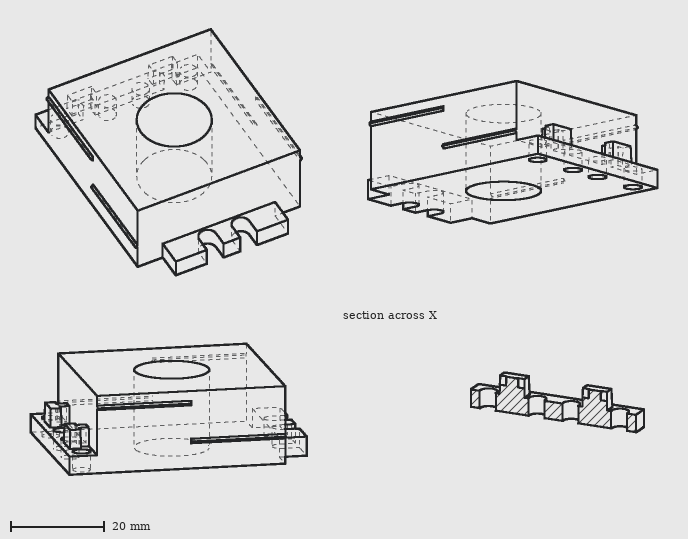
import cadquery as cq

body_length = 41.0
body_width = 39.0
body_height = 17.0
bore_diameter = 16.0

flange_length = 6.0
flange_height = 4.0
flange_hole_diameter = 3.8
flange_hole_from_edge = 3.5

tab_length = 6.0
tab_width = 27.0
tab_height = 4.2
slot_width = 4.0
slot_end_clearance = 0.5

inner_fixing_y = 4.0
outer_fixing_y = 15.5

clip_height = 4.1
clip_draft = 2.0
clip_from_edge = 1.5
clip_bar_thickness = 2.5
clip_bar_width = 6.0
clip_stem_width = 3.0
clip_stem_overlap = 1.0

rib_depth = 0.5
rib_height = 2 * rib_depth
upper_rib_z = 14.37
lower_rib_z = 6.05

body_left = -body_length / 2
body_right = body_length / 2
body_front = -body_width / 2
flange_left = body_left - flange_length
tab_right = body_right + tab_length
clip_y = (inner_fixing_y + outer_fixing_y) / 2


def make_block(x_start, x_end, width, height):
    """Block between two X positions, centred on Y and standing on Z = 0."""
    block = cq.Workplane("XY").box(x_end - x_start, width, height, centered=(False, True, False))
    return block.translate((x_start, 0, 0))


def make_body():
    body = make_block(body_left, body_right, body_width, body_height)
    flange = make_block(flange_left, body_left, body_width, flange_height)
    tab = make_block(body_right, tab_right, tab_width, tab_height)
    return body.union(flange).union(tab)


def make_bore():
    return cq.Workplane("XY").circle(bore_diameter / 2).extrude(body_height)


def make_flange_holes():
    hole_x = flange_left + flange_hole_from_edge
    hole_ys = (-outer_fixing_y, -inner_fixing_y, inner_fixing_y, outer_fixing_y)
    holes = cq.Workplane("XY").pushPoints([(hole_x, y) for y in hole_ys])
    return holes.circle(flange_hole_diameter / 2).extrude(flange_height)


def make_tab_slot(y):
    """Slot open at the +X edge of the tab, with a round inner end."""
    radius = slot_width / 2
    round_x = body_right + slot_end_clearance + radius
    return (
        cq.Workplane("XY")
        .moveTo(tab_right, y - radius)
        .lineTo(round_x, y - radius)
        .threePointArc((round_x - radius, y), (round_x, y + radius))
        .lineTo(tab_right, y + radius)
        .close()
        .extrude(tab_height)
    )


def make_clip(y):
    """T-shaped clip, drafted all round, its stem running into the body."""
    bar_start = flange_left + clip_from_edge
    bar_end = bar_start + clip_bar_thickness
    stem_end = body_left + clip_stem_overlap
    half_bar = clip_bar_width / 2
    half_stem = clip_stem_width / 2
    outline = [
        (bar_start, -half_bar),
        (bar_end, -half_bar),
        (bar_end, -half_stem),
        (stem_end, -half_stem),
        (stem_end, half_stem),
        (bar_end, half_stem),
        (bar_end, half_bar),
        (bar_start, half_bar),
    ]
    clip = cq.Workplane("XY", origin=(0, 0, flange_height)).polyline(outline).close()
    return clip.extrude(clip_height, taper=clip_draft).translate((0, y, 0))


def make_front_rib(x_start, z):
    """Half-length rib with a V section on the -Y side of the body."""
    return (
        cq.Workplane("YZ", origin=(x_start, 0, 0))
        .moveTo(body_front, z - rib_height / 2)
        .lineTo(body_front - rib_depth, z)
        .lineTo(body_front, z + rib_height / 2)
        .close()
        .extrude(body_length / 2)
    )


result = make_body().cut(make_bore()).cut(make_flange_holes())

for side in (-1, 1):
    result = result.cut(make_tab_slot(side * inner_fixing_y))
    result = result.union(make_clip(side * clip_y))

for rib_start, rib_z in ((body_left, upper_rib_z), (0, lower_rib_z)):
    rib = make_front_rib(rib_start, rib_z)
    result = result.union(rib)
    result = result.union(rib.rotate((0, 0, 0), (0, 0, 1), 180))